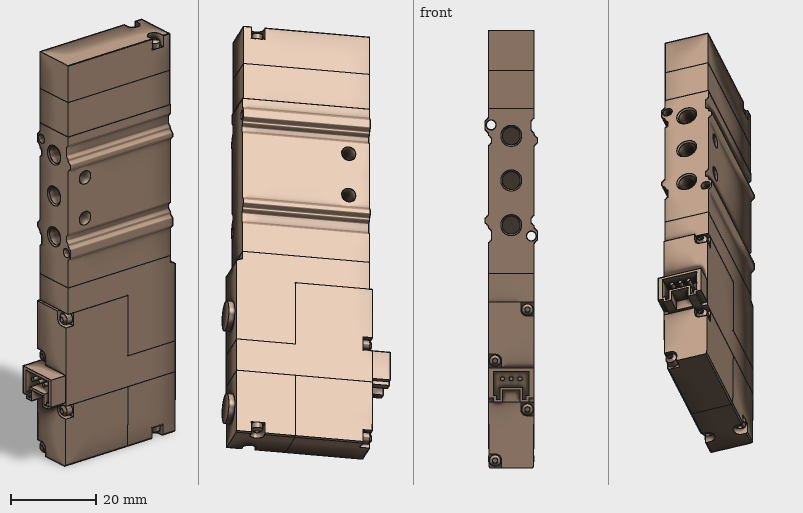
import cadquery as cq
BODY_WIDTH = 10.8
HALF_WIDTH = BODY_WIDTH / 2
FLANK_TAB = 0.8
FLANK_GROOVE = 0.7
FLANK_FILLET = 0.3
DEPTH = 30.6
CAP_WIDTH = 10.7
CAP_DEPTH = 30.4
CAP_CHAMFER = 0.1

TOP = 102.8
CAP_BASE = 93.3
SPACER_BASE = 84.5
VALVE_BASE = 45.7
PILOT_HEIGHT = 15.5
PLATE_HEIGHT = 7.9
PLATE_BASE = PILOT_HEIGHT
PLATE_TOP = PLATE_BASE + PLATE_HEIGHT
UPPER_PILOT_TOP = PLATE_TOP + PILOT_HEIGHT

PILOT_FRONT = -0.7
PILOT_BACK = 32.1
PILOT_SPLIT = 17.9
ADAPTER_SHOULDER = 1.7
SHOULDER_DROP = 0.7

TAPER = 0.15
BOTTOM_CHAMFER = 0.3

PORT_Z = 67.5
PORT_PITCH = 10.5
PORT_DIAMETER = 4.2
PORT_MOUTH_DIAMETER = 4.9
PORT_DEPTH = 8.2
CROSS_HOLE_DIAMETER = 3.4
CROSS_HOLE_Y = 5.0
TAB_HOLE_DIAMETER = 2.3
TAB_HOLE_X = 4.7
TAB_HOLE_RISE = 13.1

POCKET_RADIUS = 1.5
END_POCKET_RADIUS = 1.6
HEAD_RADIUS = 1.3
FRONT_HEAD_HEIGHT = 1.6
END_HEAD_HEIGHT = 1.3
CONE_HEIGHT = 0.6
SOCKET_RADIUS = 0.6
SOCKET_DEPTH = 0.8
FRONT_POCKET_FLOOR = 1.5
FRONT_SCREW_X = 3.8
SCREW_EDGE_GAP = 1.7
END_POCKET_DEPTH = 2.9
END_SCREW_X = 4.0
END_SCREW_Y = 26.8

BUTTON_DIAMETER = 7.1
BUTTON_HEIGHT = 1.4
BUTTON_RISE = 7.8

CONNECTOR_WIDTH = 10.7
CONNECTOR_REACH = 4.3
CONNECTOR_FOOT_WIDTH = 8.2
CONNECTOR_FOOT_HEIGHT = 0.9
CAVITY_WIDTH = 8.4
CAVITY_NECK_WIDTH = 7.0
CAVITY_ROOF = 0.7
CAVITY_LEDGE = 1.5
CAVITY_FLOOR = 0.6
CAVITY_DEPTH = 3.7
KEY_WIDTH = 5.3
KEY_HEIGHT = 3.4
KEY_WALL = 0.6
PIN_DIAMETER = 0.9
PIN_PITCH = 2.1
PIN_DROP = 2.5
PIN_LENGTH = 3.4


def block(x_range, y_range, z_range):
    """Box between the given limits on each axis."""
    (x0, x1), (y0, y1), (z0, z1) = [sorted(r) for r in (x_range, y_range, z_range)]
    return cq.Workplane("XY").box(x1 - x0, y1 - y0, z1 - z0, centered=False).translate((x0, y0, z0))


def centred_block(width, y_range, z_range):
    """Box of the given width, centred on X = 0."""
    return block((-width / 2, width / 2), y_range, z_range)


def rod(radius, length, start, direction):
    """Cylinder from a start point along a direction."""
    return cq.Workplane(cq.Solid.makeCylinder(radius, length, cq.Vector(*start), cq.Vector(*direction)))


def along_y(points, y_front, y_back):
    """Closed X-Z outline extruded from y_front to y_back."""
    return cq.Workplane("XZ", origin=(0, y_back, 0)).polyline(points).close().extrude(y_back - y_front)


def across_x(points):
    """Closed Y-Z outline extruded across the body width."""
    return cq.Workplane("YZ").polyline(points).close().extrude(HALF_WIDTH, both=True)


def screw_head(seat, direction, height):
    """Cylindrical head with a coned top and a round socket, rising from its seat."""
    seat = cq.Vector(*seat)
    axis = cq.Vector(*direction)
    rim = seat + axis * height
    crown = rim + axis * CONE_HEIGHT
    head = rod(HEAD_RADIUS, height, seat.toTuple(), direction)
    cone = cq.Solid.makeCone(HEAD_RADIUS, SOCKET_RADIUS, CONE_HEIGHT, rim, axis)
    socket = rod(SOCKET_RADIUS, SOCKET_DEPTH, crown.toTuple(), (-axis).toTuple())
    return head.union(cq.Workplane(cone)).cut(socket)


def add_front_screw(body, joint_z, side):
    """Corner pocket open to the front, to the X side and to the joint at joint_z, with its screw.

    side = +1 opens toward +X and up, side = -1 toward -X and down.
    """
    x = side * FRONT_SCREW_X
    z = joint_z - side * SCREW_EDGE_GAP
    reach = side * POCKET_RADIUS
    y_range = (PILOT_FRONT, FRONT_POCKET_FLOOR)
    pocket = rod(POCKET_RADIUS, FRONT_POCKET_FLOOR - PILOT_FRONT, (x, PILOT_FRONT, z), (0, 1, 0))
    pocket = pocket.union(block((x - reach, side * HALF_WIDTH), y_range, (z, joint_z)))
    pocket = pocket.union(block((x, side * HALF_WIDTH), y_range, (z - reach, joint_z)))
    return body.cut(pocket).union(screw_head((x, FRONT_POCKET_FLOOR, z), (0, -1, 0), FRONT_HEAD_HEIGHT))


def add_end_screws(body, end_z, outward):
    """Two pockets in an end face, each open to its X side, with their screws."""
    floor_z = end_z - outward * END_POCKET_DEPTH
    for side in (-1, 1):
        x = side * END_SCREW_X
        pocket = rod(END_POCKET_RADIUS, END_POCKET_DEPTH, (x, END_SCREW_Y, floor_z), (0, 0, outward))
        y_range = (END_SCREW_Y - END_POCKET_RADIUS, END_SCREW_Y + END_POCKET_RADIUS)
        pocket = pocket.union(block((x, side * HALF_WIDTH), y_range, (floor_z, end_z)))
        head = screw_head((x, END_SCREW_Y, floor_z), (0, 0, outward), END_HEAD_HEIGHT)
        body = body.cut(pocket).union(head)
    return body


def make_end_cap():
    cap = centred_block(CAP_WIDTH, (0, CAP_DEPTH), (CAP_BASE, TOP))
    cap = cap.faces(">Z").edges("<X or >X or >Y").chamfer(CAP_CHAMFER)
    return add_end_screws(cap, TOP, 1)


def make_spacer():
    return centred_block(CAP_WIDTH, (0, CAP_DEPTH), (SPACER_BASE, CAP_BASE))


FLANK_START = 14.7
FLANK_LONG_END = 11.1
FLANK_SHORT_START = 10.7
FLANK_END = 8.1


def flank_steps(long_step, short_step):
    """(X, height above the middle port) points of a long then a short 45-degree step.

    A positive step stands out of the side and a negative one goes into it.
    """
    levels = []
    for step, start, end in (
        (long_step, FLANK_START, FLANK_LONG_END),
        (short_step, FLANK_SHORT_START, FLANK_END),
    ):
        slope = abs(step)
        levels += [
            (HALF_WIDTH, start),
            (HALF_WIDTH + step, start - slope),
            (HALF_WIDTH + step, end + slope),
            (HALF_WIDTH, end),
        ]
    return levels


def valve_outline():
    """Outline with interlocking flanks, the same when turned half a turn about the middle port."""
    upper_right = flank_steps(-FLANK_GROOVE, FLANK_TAB)
    upper_left = flank_steps(FLANK_TAB, -FLANK_GROOVE)
    right = [(HALF_WIDTH, SPACER_BASE)]
    right += [(x, PORT_Z + rise) for x, rise in upper_right]
    right += [(x, PORT_Z - rise) for x, rise in reversed(upper_left)]
    right += [(HALF_WIDTH, VALVE_BASE)]
    left = [(-HALF_WIDTH, VALVE_BASE)]
    left += [(-x, PORT_Z - rise) for x, rise in upper_right]
    left += [(-x, PORT_Z + rise) for x, rise in reversed(upper_left)]
    left += [(-HALF_WIDTH, SPACER_BASE)]
    return right + left


def make_valve_body():
    body = along_y(valve_outline(), 0, DEPTH)
    flank_zone = cq.selectors.BoxSelector(
        (-BODY_WIDTH, 0, PORT_Z - FLANK_START - FLANK_FILLET),
        (BODY_WIDTH, DEPTH, PORT_Z + FLANK_START + FLANK_FILLET),
    )
    body = body.edges("|Y").edges(flank_zone).fillet(FLANK_FILLET)
    mouth_depth = (PORT_MOUTH_DIAMETER - PORT_DIAMETER) / 2
    for step in (-1, 0, 1):
        mouth = (0, 0, PORT_Z + step * PORT_PITCH)
        mouth_cone = cq.Solid.makeCone(
            PORT_MOUTH_DIAMETER / 2, PORT_DIAMETER / 2, mouth_depth, cq.Vector(*mouth), cq.Vector(0, 1, 0)
        )
        body = body.cut(rod(PORT_DIAMETER / 2, PORT_DEPTH, mouth, (0, 1, 0)))
        body = body.cut(cq.Workplane(mouth_cone))
    for side in (-1, 1):
        cross_start = (-HALF_WIDTH, CROSS_HOLE_Y, PORT_Z + side * PORT_PITCH / 2)
        body = body.cut(rod(CROSS_HOLE_DIAMETER / 2, BODY_WIDTH, cross_start, (1, 0, 0)))
        tab_start = (side * TAB_HOLE_X, 0, PORT_Z - side * TAB_HOLE_RISE)
        body = body.cut(rod(TAB_HOLE_DIAMETER / 2, DEPTH, tab_start, (0, 1, 0)))
    return body


def make_adapter():
    """Hook-shaped body between the valve body and the coil housing."""
    shoulder_z = VALVE_BASE - ADAPTER_SHOULDER
    return across_x([
        (0, VALVE_BASE),
        (DEPTH, VALVE_BASE),
        (DEPTH, shoulder_z),
        (PILOT_BACK, shoulder_z - SHOULDER_DROP),
        (PILOT_BACK, PLATE_TOP),
        (PILOT_SPLIT, PLATE_TOP),
        (PILOT_SPLIT, UPPER_PILOT_TOP),
        (0, UPPER_PILOT_TOP),
    ])


def make_connector():
    """Shrouded three-pin connector standing out of the front of the plate."""
    front = PILOT_FRONT - CONNECTOR_REACH
    base = PLATE_BASE
    y_range = (front, PILOT_FRONT)
    shell = centred_block(CONNECTOR_WIDTH, y_range, (base + CONNECTOR_FOOT_HEIGHT, PLATE_TOP))
    shell = shell.union(centred_block(CONNECTOR_FOOT_WIDTH, y_range, (base, PLATE_TOP)))

    cavity_y = (front, front + CAVITY_DEPTH)
    cavity_top = PLATE_TOP - CAVITY_ROOF
    shell = shell.cut(centred_block(CAVITY_WIDTH, cavity_y, (base + CAVITY_LEDGE, cavity_top)))
    shell = shell.cut(centred_block(CAVITY_NECK_WIDTH, cavity_y, (base + CAVITY_FLOOR, cavity_top)))

    key_top = base + KEY_HEIGHT
    shell = shell.union(centred_block(KEY_WIDTH, cavity_y, (base, key_top)))
    shell = shell.cut(centred_block(KEY_WIDTH - 2 * KEY_WALL, cavity_y, (base, key_top - KEY_WALL)))

    for step in (-1, 0, 1):
        root = (step * PIN_PITCH, front + CAVITY_DEPTH, PLATE_TOP - PIN_DROP)
        shell = shell.union(rod(PIN_DIAMETER / 2, PIN_LENGTH, root, (0, -1, 0)))
    return shell


def make_coil_housing():
    """Upper coil and connector plate in one L-shaped body with the connector in front."""
    housing = across_x([
        (PILOT_FRONT, PLATE_BASE),
        (PILOT_BACK, PLATE_BASE),
        (PILOT_BACK, PLATE_TOP),
        (PILOT_SPLIT, PLATE_TOP),
        (PILOT_SPLIT, UPPER_PILOT_TOP),
        (PILOT_FRONT, UPPER_PILOT_TOP),
    ])
    housing = add_front_screw(housing, UPPER_PILOT_TOP, 1)
    housing = add_front_screw(housing, PLATE_TOP, -1)
    return housing.union(make_connector())


def tapered_stage(y_front, y_back):
    """Part of the lower pilot stage: sides narrowing downward, small chamfers at the bottom."""
    foot = HALF_WIDTH - TAPER
    return along_y([
        (-HALF_WIDTH, PLATE_BASE),
        (HALF_WIDTH, PLATE_BASE),
        (foot, BOTTOM_CHAMFER),
        (foot - BOTTOM_CHAMFER, 0),
        (-foot + BOTTOM_CHAMFER, 0),
        (-foot, BOTTOM_CHAMFER),
    ], y_front, y_back)


def make_lower_coil():
    coil = add_front_screw(tapered_stage(PILOT_FRONT, PILOT_SPLIT), PLATE_BASE, 1)
    return add_front_screw(coil, 0, -1)


def make_lower_block():
    return add_end_screws(tapered_stage(PILOT_SPLIT, PILOT_BACK), 0, -1)


def make_button(stage_base):
    """Manual override button on the back face of a pilot stage."""
    return rod(BUTTON_DIAMETER / 2, BUTTON_HEIGHT, (0, PILOT_BACK, stage_base + BUTTON_RISE), (0, 1, 0))


end_cap = make_end_cap()
spacer = make_spacer()
valve_body = make_valve_body()
adapter = make_adapter()
coil_housing = make_coil_housing()
lower_coil = make_lower_coil()
lower_block = make_lower_block()
buttons = [make_button(stage_base) for stage_base in (0, PLATE_TOP)]

result = cq.Compound.makeCompound([
    end_cap.val(),
    spacer.val(),
    valve_body.val(),
    adapter.val(),
    coil_housing.val(),
    lower_coil.val(),
    lower_block.val(),
    *[button.val() for button in buttons],
])